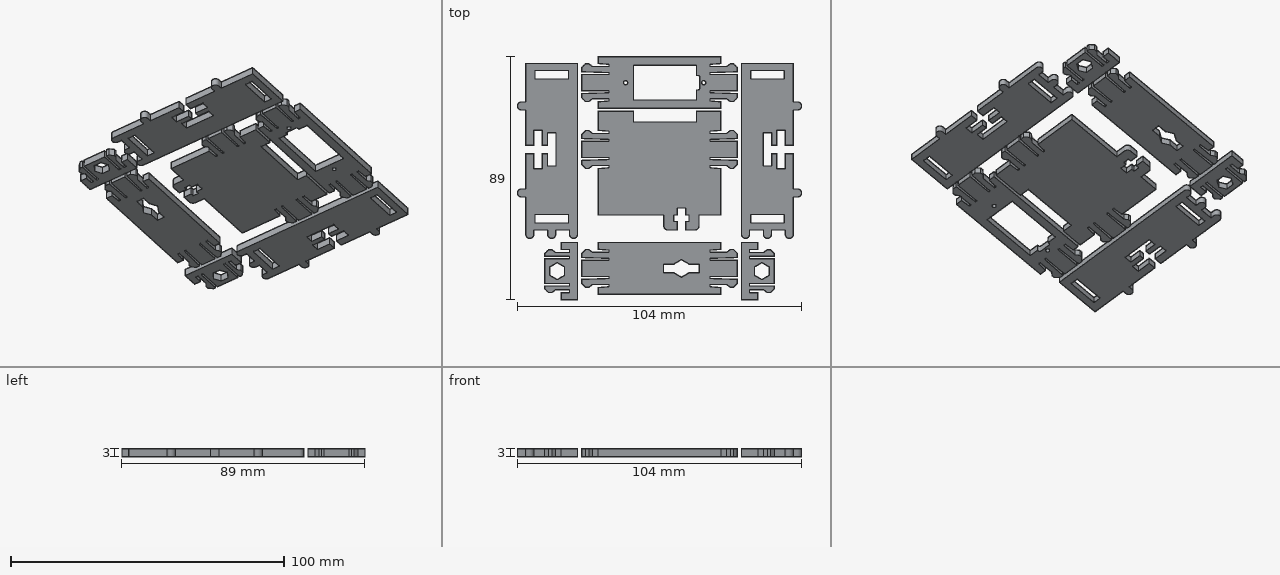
import cadquery as cq
import math

thickness = 3.0
outer_half_width = 52.0
tab_size = 3.0
column_gap = 1.5

wall_width = 19.0
wall_top = 42.0
wall_bottom = -19.0
wall_center_y = 10.5
edge_tab_offset = 15.9
window_width = 12.2
window_margin = 2.7
side_slot_half = 7.0
inner_slot_half = 6.0
inner_slot_inset = 8.0

wall_outer_x = outer_half_width - tab_size
wall_inner_x = wall_outer_x - wall_width
wall_middle_x = (wall_outer_x + wall_inner_x) / 2

hook_rise = 1.0
hook_face_drop = 0.4
hook_crest_near = 1.5
hook_crest_far = 2.6
hook_heel = 4.0
joint_reach = 6.0

panel_joint = {
    "depth": 4.0,
    "tongue_half": 3.0,
    "arm_inner_root": 3.6,
    "arm_inner_tip": 4.0,
    "arm_outer": 5.9,
    "pocket_root": 6.7,
    "pocket_mouth": 7.0,
}
bracket_joint = {
    "depth": 3.0,
    "tongue_half": 4.6,
    "arm_inner_root": 5.4,
    "arm_inner_tip": 5.4,
    "arm_outer": 6.9,
    "pocket_root": 7.9,
    "pocket_mouth": 7.9,
}

panel_half_width = wall_inner_x - column_gap - joint_reach
servo_panel_top = 44.5
servo_panel_height = 18.9
servo_center_y = 34.9
lower_row_top = -23.5
screw_panel_height = 19.0
screw_panel_center_y = lower_row_top - screw_panel_height / 2

servo_left = -9.5
servo_right = 13.5
servo_height = 12.6
cable_notch_depth = 1.1
cable_notch_height = 5.2
cable_notch_round = 0.5
servo_screw_diameter = 1.5
servo_screw_spacing = 28.6
servo_screw_middle_x = 1.9

base_top = 24.5
base_bottom = -13.5
base_notch_depth = 4.0

screw_x = 8.0
nut_flats = 5.5
screw_width = 3.0
leg_width = 13.0
leg_bottom = wall_bottom
leg_round = 1.7
screw_slot_top = -10.9
nut_slot_height = 2.3

bracket_height = 21.0
bracket_spine = 6.0
bracket_center_y = lower_row_top - bracket_height / 2
bracket_nut_x = 37.4
bracket_nut_flats = 5.3


def block(x_start, x_end, y_start, y_end):
    """Full-thickness rectangular block between two X and two Y positions."""
    return cq.Workplane("XY").box(
        x_end - x_start, y_end - y_start, thickness, centered=False
    ).translate((x_start, y_start, 0))


def band(x_start, x_end, center_y, half_height):
    """Block that reaches equally far above and below a center line."""
    return block(x_start, x_end, center_y - half_height, center_y + half_height)


def prism(points):
    """Full-thickness prism on a closed outline."""
    return cq.Workplane("XY").polyline(points).close().extrude(thickness)


def round_tab(x, y, angle):
    """Round-ended bar centered on a wall edge, so that half of it stands out as a tab."""
    return cq.Workplane("XY").center(x, y).slot2D(2 * tab_size, tab_size, angle).extrude(thickness)


def nut_opening(x, y, flats):
    """Hexagonal prism with corners pointing along +Y and -Y."""
    corner_diameter = flats / math.cos(math.pi / 6)
    hexagon = cq.Workplane("XY").polygon(6, corner_diameter).extrude(thickness)
    return hexagon.rotate((0, 0, 0), (0, 0, 1), 90).translate((x, y, 0))


def mirrored(body):
    """Copy of a body on the other side of X = 0."""
    return body.mirror("YZ")


def add_snap_joint(plate, mouth_x, center_y, joint):
    """Give the plate's +X edge a tongue between two hooked spring arms."""
    root = mouth_x - joint["depth"]
    tip = mouth_x + joint_reach
    pocket = prism([
        (root, center_y - joint["pocket_root"]),
        (mouth_x, center_y - joint["pocket_mouth"]),
        (mouth_x, center_y + joint["pocket_mouth"]),
        (root, center_y + joint["pocket_root"]),
    ])
    tongue_half = joint["tongue_half"]
    plate = plate.cut(pocket)
    plate = plate.union(band(root, tip, center_y, tongue_half))
    arm_outer = joint["arm_outer"]
    arm_profile = [
        (root, joint["arm_inner_root"]),
        (tip, joint["arm_inner_tip"]),
        (tip, arm_outer - hook_face_drop),
        (tip - hook_crest_near, arm_outer + hook_rise),
        (tip - hook_crest_far, arm_outer + hook_rise),
        (tip - hook_heel, arm_outer),
        (root, arm_outer),
    ]
    for side in (1, -1):
        plate = plate.union(prism([(x, center_y + side * offset) for x, offset in arm_profile]))
    return plate


def snap_panel(y_start, y_end, joint_y):
    """Plate with a snap joint on both its +X and -X edges."""
    panel = block(-panel_half_width, panel_half_width, y_start, y_end)
    for _ in range(2):
        panel = mirrored(add_snap_joint(panel, panel_half_width, joint_y, panel_joint))
    return panel


def make_side_wall():
    """Wall on the +X side, with tabs, bracket windows and edge cut-outs."""
    wall = block(wall_inner_x, wall_outer_x, wall_bottom, wall_top)

    for offset in (edge_tab_offset, -edge_tab_offset):
        wall = wall.union(round_tab(wall_outer_x, wall_center_y + offset, 0))

    half_tab = tab_size / 2
    foot_reach = wall_middle_x - wall_inner_x - half_tab
    for x in (wall_middle_x - foot_reach, wall_middle_x, wall_middle_x + foot_reach):
        wall = wall.union(round_tab(x, wall_bottom, 90))

    window_start = wall_middle_x - window_width / 2
    for y in (wall_bottom + window_margin, wall_top - window_margin - tab_size):
        wall = wall.cut(block(window_start, window_start + window_width, y, y + tab_size))

    side_slot_x = wall_outer_x - 2 * tab_size
    inner_slot_x = wall_outer_x - inner_slot_inset - tab_size
    for x, half_length in ((side_slot_x, side_slot_half), (inner_slot_x, inner_slot_half)):
        slot = band(x, x + tab_size, wall_center_y, half_length)
        wall = wall.cut(slot)
    return wall.cut(band(inner_slot_x, wall_outer_x, wall_center_y, half_tab))


def make_servo_panel():
    """Panel with the servo window, its cable notch and two screw holes."""
    panel = snap_panel(servo_panel_top - servo_panel_height, servo_panel_top, servo_center_y)
    half_height = servo_height / 2
    panel = panel.cut(band(servo_left, servo_right, servo_center_y, half_height))

    half_notch = cable_notch_height / 2
    notch = band(servo_left, servo_right + cable_notch_depth, servo_center_y, half_notch)
    panel = panel.cut(notch.edges("|Z and >X").fillet(cable_notch_round))

    for side in (1, -1):
        x = servo_screw_middle_x + side * servo_screw_spacing / 2
        center = cq.Workplane("XY").center(x, servo_center_y)
        panel = panel.cut(center.circle(servo_screw_diameter / 2).extrude(thickness))
    return panel


def make_base_plate():
    """Large plate with a servo clearance notch and a slotted leg that holds a nut."""
    plate = snap_panel(base_bottom, base_top, wall_center_y)
    plate = plate.cut(block(servo_left, servo_right, base_top - base_notch_depth, base_top))

    half_leg = leg_width / 2
    leg = block(screw_x - half_leg, screw_x + half_leg, leg_bottom, screw_slot_top)
    plate = plate.union(leg.edges("|Z and <Y").fillet(leg_round))

    half_screw = screw_width / 2
    half_nut = nut_flats / 2
    nut_slot_bottom = base_bottom - nut_slot_height
    plate = plate.cut(block(screw_x - half_screw, screw_x + half_screw, leg_bottom, screw_slot_top))
    return plate.cut(block(screw_x - half_nut, screw_x + half_nut, nut_slot_bottom, base_bottom))


def make_screw_panel():
    """Panel with a slot for the leg, widened by a hexagon for the nut."""
    panel = snap_panel(lower_row_top - screw_panel_height, lower_row_top, screw_panel_center_y)
    half_leg = leg_width / 2
    half_slot = tab_size / 2
    slot = band(screw_x - half_leg, screw_x + half_leg, screw_panel_center_y, half_slot)
    return panel.cut(slot).cut(nut_opening(screw_x, screw_panel_center_y, nut_flats))


def make_bracket():
    """Bracket on the +X side: a spine with one snap joint and a hexagonal nut opening."""
    mouth_x = wall_inner_x + bracket_spine
    spine = block(wall_inner_x, mouth_x, lower_row_top - bracket_height, lower_row_top)
    bracket = add_snap_joint(spine, mouth_x, bracket_center_y, bracket_joint)
    return bracket.cut(nut_opening(bracket_nut_x, bracket_center_y, bracket_nut_flats))


side_wall = make_side_wall()
servo_panel = make_servo_panel()
base_plate = make_base_plate()
screw_panel = make_screw_panel()
bracket = make_bracket()

paired_solids = []
for body in (side_wall, bracket):
    paired_solids.append(body.val())
    paired_solids.append(mirrored(body).val())

result = cq.Compound.makeCompound([servo_panel.val(), base_plate.val(), screw_panel.val(), *paired_solids])